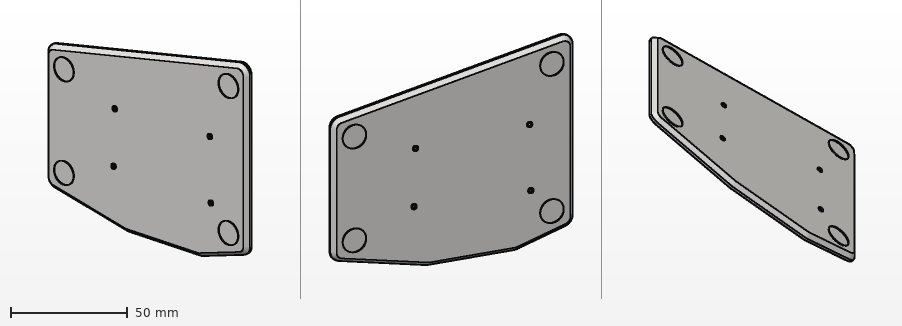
import cadquery as cq
import math

width = 113.6
height = 96.5
thickness = 3.3
corner_radius = 5.0
chamfer_size = 2.0

flat_start_x = 45.1
flat_end_x = 86.6
left_bottom_z = 9.9
right_bottom_z = 8.2
top_slope_angle = 11.0

foot_diameter = 11.0
foot_depth = 0.5
foot_left_x = 10.5
foot_right_x = 103.0
foot_centres = [
    (foot_left_x, 18.3),
    (foot_left_x, 66.7),
    (foot_right_x, 16.0),
    (foot_right_x, 84.6),
]

screw_diameter = 1.2
screw_head_diameter = 2.5
screw_head_depth = 0.5
screw_centres = [(38.4, 29.2), (39.1, 56.2), (92.6, 58.2), (93.2, 27.3)]


def front_plane_cylinders(centres, diameter, depth):
    """Cylinders running from the front face into the plate."""
    return cq.Workplane("XZ").pushPoints(centres).circle(diameter / 2).extrude(-depth)


def make_plate():
    """Six-sided plate with rounded corners and a chamfered front edge."""
    turn_angle = math.radians(90 + top_slope_angle)
    corner_drop = corner_radius * (math.tan(turn_angle / 2) - 1)
    right_top_z = height + corner_drop
    left_top_z = right_top_z - width * math.tan(math.radians(top_slope_angle))
    outline = [
        (0, left_bottom_z),
        (flat_start_x, 0),
        (flat_end_x, 0),
        (width, right_bottom_z),
        (width, right_top_z),
        (0, left_top_z),
    ]
    plate = cq.Workplane("XZ").polyline(outline).close().extrude(-thickness)
    plate = plate.edges("|Y").fillet(corner_radius)
    return plate.faces("<Y").edges().chamfer(chamfer_size)


result = (
    make_plate()
    .cut(front_plane_cylinders(foot_centres, foot_diameter, foot_depth))
    .cut(front_plane_cylinders(screw_centres, screw_diameter, thickness))
    .cut(front_plane_cylinders(screw_centres, screw_head_diameter, screw_head_depth))
)